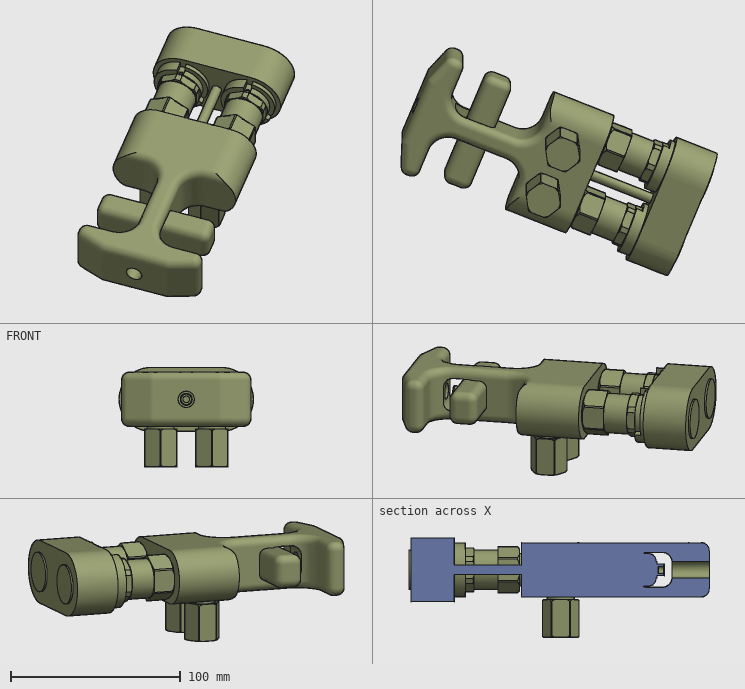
import cadquery as cq
import math


body_front = 73.0
body_rear = 110.8
rear_nut_front = 111.9
sleeve_front = 124.6
lock_hex_front = 138.6
collar_front = 143.8
block_front = 150.3
block_rear = 176.0
cap_rear = 177.0

overall_height = 58.6
coupling_pitch = 41.6
block_width = 79.3
block_radius = (block_width - coupling_pitch) / 2
sleeve_dia = 23.4
neck_dia = 19.3
coupling_hex_flats = 24.0
nut_trim_dia = 27.3
nut_chamfer = 1.2
lock_hex_trim_flats = 25.8
lock_hex_chamfer = 0.5

collar_dia = 32.0
collar_radius = collar_dia / 2
recess_radius = 13.1
recess_depth = 3.9
recess_end_angle = -30
groove_width = 3.7
groove_floor = 12.2
dimple_dia = 2.1
dimple_depth = 0.9
dimple_y = collar_front + 1.6

body_width = 76.3
body_height = 32.0
waist_width = 13.6
waist_fillet = 12.4
grip_rear = 16.3
grip_flat_half = 20.4
grip_sweep = 20
edge_round = 4.8

slot_front = 22.1
slot_size = 20.4
slot_corner = 5.7
crossbar_width = 70.0
crossbar_front = 31.3
crossbar_depth = 16.6
crossbar_height = 19.5
rod_dia = 6.0
access_hole_dia = 9.5
washer_thickness = 0.5
rod_tip_dia = 7.0
rod_tip_front = 26.5
rod_tip_recess_dia = 6.2
rod_tip_recess_depth = 0.5
rod_tip_bore_dia = 3.9
rod_tip_bore_depth = 3.5

overlap = 1.8

lower_nut_pitch = 30.3
lower_nut_y = 87.6
lower_nut_flats = 19.1
lower_nut_trim_dia = 21.8
lower_nut_chamfer = 0.7
lower_nut_top = -17.5
lower_nut_bottom = block_radius - overall_height
lower_neck_dia = 16.1


def section_at(y, x=0.0):
    """Sketch plane facing +Y with local X along global X and local Y along global -Z."""
    return cq.Workplane(cq.Plane(origin=(x, y, 0), xDir=(1, 0, 0), normal=(0, 1, 0)))


def rod_between(y_start, y_end, dia, x=0.0):
    return section_at(y_start, x).circle(dia / 2).extrude(y_end - y_start)


def stadium(y_start, y_end, width, height):
    return section_at(y_start).slot2D(width, height).extrude(y_end - y_start)


def hexagon(sketch, flats, length, corners_on_x=False):
    """Hexagonal bar with corners on the local Y axis, or on the local X axis if asked."""
    turn = 0 if corners_on_x else 90
    corner_radius = flats / math.sqrt(3)
    angles = [math.radians(turn + 60 * i) for i in range(6)]
    corners = [(corner_radius * math.cos(a), corner_radius * math.sin(a)) for a in angles]
    return sketch.polyline(corners).close().extrude(length)


def collar(x):
    """Ring with a lengthwise groove on top, a dimple in the groove floor and a step down on the +X side."""
    length = block_front - collar_front
    ring = rod_between(collar_front, block_front, collar_dia, x)

    reach = collar_dia
    end = math.radians(recess_end_angle)
    end_point = (reach * math.cos(end), -reach * math.sin(end))
    sector = (
        section_at(collar_front, x)
        .polyline([(0, 0), end_point, (reach, -reach), (0, -reach)])
        .close()
        .extrude(recess_depth)
    )
    ring = ring.cut(sector.cut(rod_between(collar_front, block_front, 2 * recess_radius, x)))

    groove_height = collar_radius - groove_floor
    groove = (
        section_at(collar_front, x)
        .center(0, -groove_floor - groove_height / 2)
        .rect(groove_width, groove_height)
        .extrude(length)
    )
    dimple = (
        cq.Workplane("XY", origin=(x, dimple_y, groove_floor)).circle(dimple_dia / 2).extrude(-dimple_depth)
    )
    return ring.cut(groove).cut(dimple)


def coupling(x):
    rear_nut_length = sleeve_front - rear_nut_front
    rear_nut = hexagon(section_at(rear_nut_front, x), coupling_hex_flats, rear_nut_length)
    nut_trim = rod_between(rear_nut_front, sleeve_front, nut_trim_dia, x).faces("<Y").chamfer(nut_chamfer)

    lock_length = collar_front - lock_hex_front
    lock_hex = hexagon(section_at(lock_hex_front, x), coupling_hex_flats, lock_length)
    lock_trim = hexagon(section_at(lock_hex_front, x), lock_hex_trim_flats, lock_length, corners_on_x=True)
    lock_cone = (
        rod_between(lock_hex_front, collar_front, lock_hex_trim_flats + 2 * lock_hex_chamfer, x)
        .faces("<Y").chamfer(2 * lock_hex_chamfer)
    )

    return (
        rod_between(body_rear, cap_rear, neck_dia, x)
        .union(rear_nut.intersect(nut_trim))
        .union(rod_between(sleeve_front, lock_hex_front, sleeve_dia, x))
        .union(lock_hex.intersect(lock_trim).intersect(lock_cone))
        .union(collar(x))
        .union(rod_between(block_rear, cap_rear, sleeve_dia, x))
    )


def zone(half_width, y_start, y_end):
    """Edge selector for everything centred within a box across the full body height."""
    margin = 0.9
    return cq.selectors.BoxSelector(
        (-half_width - margin, y_start - margin, -body_height),
        (half_width + margin, y_end + margin, body_height),
    )


def body_with_handle():
    half_body = body_width / 2
    half_waist = waist_width / 2
    tip_front = (half_body - grip_flat_half) * math.tan(math.radians(grip_sweep))
    overhang = half_body + edge_round
    right_side = [
        (grip_flat_half, 0),
        (half_body, tip_front),
        (half_body, grip_rear),
        (half_waist, grip_rear),
        (half_waist, body_front),
        (overhang, body_front),
        (overhang, body_rear),
    ]
    left_side = [(-x, y) for x, y in reversed(right_side)]
    plate = (
        cq.Workplane("XY").workplane(offset=-body_height / 2)
        .polyline(right_side + left_side).close().extrude(body_height)
    )
    waist_zone = zone(half_waist, grip_rear, body_front)
    grip_zone = zone(half_body, 0, grip_rear)
    front_zone = zone(half_body, 0, body_front)
    plate = plate.edges("|Z").edges(waist_zone).fillet(waist_fillet)
    plate = plate.edges("|Z").edges(grip_zone - waist_zone).fillet(edge_round)
    plate = plate.edges("#Z").edges(front_zone).fillet(edge_round)

    envelope = stadium(body_front, body_rear, body_width, body_height).union(
        cq.Workplane("XY").box(body_width, body_front, body_height).translate((0, body_front / 2, 0))
    )
    slot = (
        cq.Workplane("XY").box(body_width, slot_size, slot_size)
        .edges("|X").fillet(slot_corner)
        .translate((0, slot_front + slot_size / 2, 0))
    )
    access_hole = rod_between(0, slot_front + slot_corner, access_hole_dia)
    return plate.intersect(envelope).cut(slot).cut(access_hole)


def crossbar():
    bar = (
        cq.Workplane("XY").box(crossbar_width, crossbar_depth, crossbar_height)
        .edges().fillet(edge_round)
        .translate((0, crossbar_front + crossbar_depth / 2, 0))
    )
    washer = rod_between(crossbar_front - washer_thickness, crossbar_front + overlap, access_hole_dia)
    tip = rod_between(rod_tip_front, crossbar_front + overlap, rod_tip_dia)
    recess = rod_between(rod_tip_front, rod_tip_front + rod_tip_recess_depth, rod_tip_recess_dia)
    bore = rod_between(rod_tip_front, rod_tip_front + rod_tip_bore_depth, rod_tip_bore_dia)
    return bar.union(washer).union(tip).cut(recess).cut(bore)


def lower_nut(x):
    foot = cq.Workplane("XY", origin=(x, lower_nut_y, lower_nut_bottom))
    height = lower_nut_top - lower_nut_bottom
    nut = hexagon(foot, lower_nut_flats, height)
    trim = foot.circle(lower_nut_trim_dia / 2).extrude(height).faces("<Z or >Z").chamfer(lower_nut_chamfer)
    neck = foot.circle(lower_neck_dia / 2).extrude(-lower_nut_bottom)
    return nut.intersect(trim).union(neck)


result = body_with_handle().union(crossbar())
result = result.union(rod_between(body_rear - overlap, block_front + overlap, rod_dia))
result = result.union(stadium(block_front, block_rear, block_width, 2 * block_radius))
for side in (-1, 1):
    result = result.union(coupling(side * coupling_pitch / 2))
    result = result.union(lower_nut(side * lower_nut_pitch / 2))